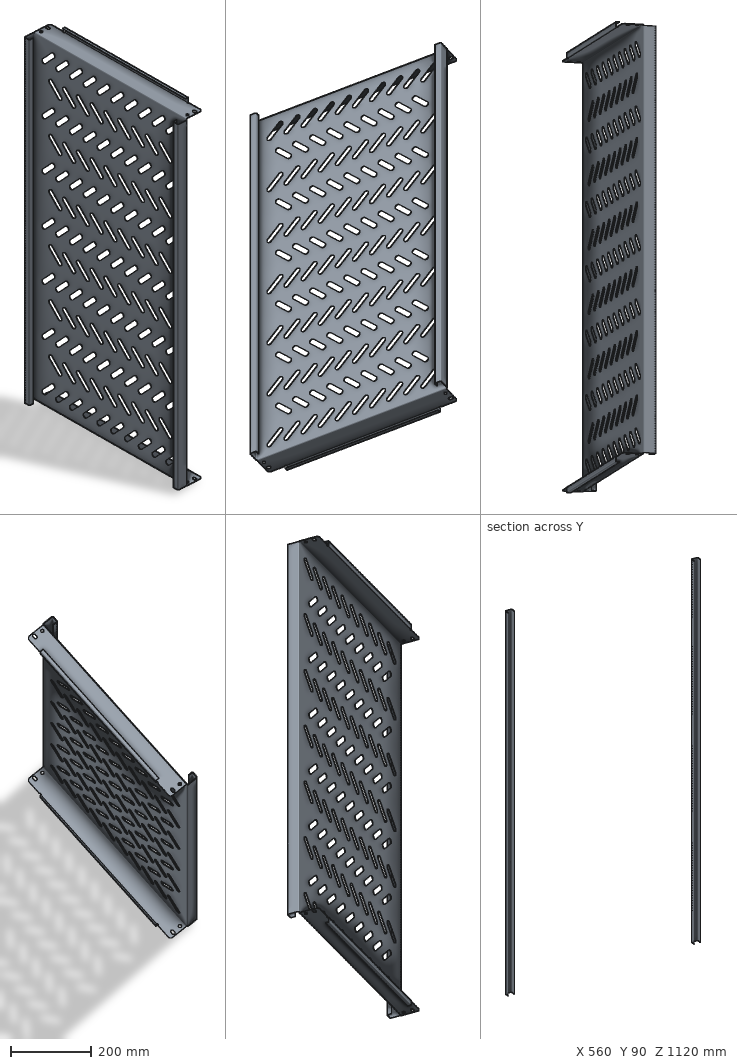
import cadquery as cq
import math

overall_width = 560.0
overall_depth = 90.0
overall_height = 1120.0
thickness = 2.0
bend_radius = 2.5
half_sheet = thickness / 2

side_x = overall_width / 2 - half_sheet
back_y = overall_depth / 2 - half_sheet
front_y = -back_y
hook_top_z = overall_height / 2 - half_sheet

channel_depth = 31.5
channel_return = 18.0
channel_lip = 13.0
panel_y = front_y + channel_depth

hook_height = 14.0
hook_length = 447.0
hook_return = 10.0
flange_z = hook_top_z - hook_height
flange_width = 553.0
flange_back_y = 42.0
flange_corner_radius = 8.0
relief_width = 5.0
relief_depth = 2.0

panel_width = 2 * (side_x - bend_radius)
panel_height = 2 * (flange_z - bend_radius)

mount_slot_x = 266.5
mount_slot_y = 25.0
mount_slot_length = 13.0
mount_hole_x = 265.5
mount_hole_y = 1.0
mount_diameter = 8.0

row_count = 13
row_pitch = 81.8
slot_pitch = 50.0
slot_angle = 45.0
slot_length = 60.0
slot_width = 14.0
long_row_count = 10
short_row_count = 9


def bent_strip(plane, path, length):
    """Sheet strip along a right-angled mid-thickness path, centred on the plane."""
    steps = [(b[0] - a[0], b[1] - a[1]) for a, b in zip(path, path[1:])]
    directions = [(dx / math.hypot(dx, dy), dy / math.hypot(dx, dy)) for dx, dy in steps]

    def face(side):
        """Start point and bend arcs of the face lying half a sheet to the left (+1) or right (-1)."""
        offset = side * half_sheet
        start = (path[0][0] - offset * directions[0][1], path[0][1] + offset * directions[0][0])
        end = (path[-1][0] - offset * directions[-1][1], path[-1][1] + offset * directions[-1][0])
        arcs = []
        for corner, (ux, uy), (vx, vy) in zip(path[1:-1], directions, directions[1:]):
            center = (corner[0] + bend_radius * (vx - ux), corner[1] + bend_radius * (vy - uy))
            turn = ux * vy - uy * vx
            radius = bend_radius - turn * offset
            first = (center[0] - radius * vx, center[1] - radius * vy)
            last = (center[0] + radius * ux, center[1] + radius * uy)
            reach = radius / math.sqrt(2)
            middle = (center[0] + reach * (ux - vx), center[1] + reach * (uy - vy))
            arcs.append((first, middle, last))
        return start, arcs, end

    left_start, left_arcs, left_end = face(1)
    right_start, right_arcs, right_end = face(-1)
    outline = cq.Workplane(plane).workplane(offset=-length / 2).moveTo(*left_start)
    for first, middle, last in left_arcs:
        outline = outline.lineTo(*first).threePointArc(middle, last)
    outline = outline.lineTo(*left_end).lineTo(*right_end)
    for first, middle, last in reversed(right_arcs):
        outline = outline.lineTo(*last).threePointArc(middle, first)
    return outline.lineTo(*right_start).close().extrude(length)


def make_panel():
    return cq.Workplane("XY").box(panel_width, thickness, panel_height).translate((0, panel_y, 0))


def make_channel():
    """Side channel on the +X edge, overlapping the panel before its first bend."""
    lip_x = side_x - channel_return
    path = [
        (panel_width / 2 - bend_radius, panel_y),
        (side_x, panel_y),
        (side_x, front_y),
        (lip_x, front_y),
        (lip_x, front_y + channel_lip),
    ]
    return bent_strip("XY", path, panel_height)


def make_end_flange():
    """Top flange with rounded rear corners, a hook and a relief notch beside each hook end."""
    edge_path = [
        (panel_y, panel_height / 2 - bend_radius),
        (panel_y, flange_z),
        (flange_back_y, flange_z),
    ]
    flange = bent_strip("YZ", edge_path, flange_width)
    flange = flange.edges("|Z and >Y").fillet(flange_corner_radius)

    relief_x = (hook_length + relief_width) / 2
    reliefs = (
        cq.Workplane("XY", origin=(0, 0, flange_z))
        .pushPoints([(-relief_x, flange_back_y), (relief_x, flange_back_y)])
        .rect(relief_width, 2 * relief_depth)
        .extrude(thickness, both=True)
    )
    hook_path = [
        (panel_y + bend_radius, flange_z),
        (back_y, flange_z),
        (back_y, hook_top_z),
        (back_y - hook_return, hook_top_z),
    ]
    hook = bent_strip("YZ", hook_path, hook_length)
    return flange.cut(reliefs).union(hook)


def mounting_cutters():
    """Slot and round hole at both ends, running through the top and bottom flanges."""
    slots = (
        cq.Workplane("XY")
        .pushPoints([(-mount_slot_x, mount_slot_y), (mount_slot_x, mount_slot_y)])
        .slot2D(mount_slot_length, mount_diameter)
        .extrude(overall_height / 2, both=True)
    )
    holes = (
        cq.Workplane("XY")
        .pushPoints([(-mount_hole_x, mount_hole_y), (mount_hole_x, mount_hole_y)])
        .circle(mount_diameter / 2)
        .extrude(overall_height / 2, both=True)
    )
    return slots.union(holes)


def vent_row(row):
    """Cutters for one row; slots lean right in long rows and left in short rows."""
    z = (row - (row_count - 1) / 2) * row_pitch
    if row % 2 == 0:
        count, angle = long_row_count, slot_angle
    else:
        count, angle = short_row_count, -slot_angle
    points = [((i - (count - 1) / 2) * slot_pitch, z) for i in range(count)]
    return (
        cq.Workplane("XZ", origin=(0, panel_y, 0))
        .pushPoints(points)
        .slot2D(slot_length, slot_width, angle)
        .extrude(thickness, both=True)
    )


panel = make_panel()
for row in range(row_count):
    panel = panel.cut(vent_row(row))

channel = make_channel()
end_flange = make_end_flange()
result = (
    panel
    .union(channel)
    .union(channel.mirror("YZ"))
    .union(end_flange)
    .union(end_flange.mirror("XY"))
    .cut(mounting_cutters())
)